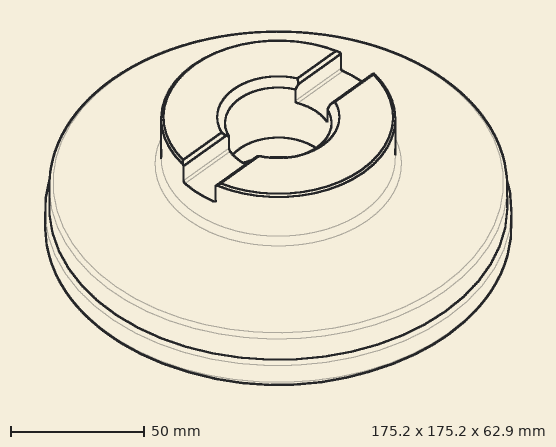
import cadquery as cq

ring_diameter = 175.2
ring_height = 17.7
ring_foot_diameter = 161.1
ring_bevel_height = 6.8
ring_shoulder_round = 1.5
ring_bevel_round = 2.1

total_height = 62.9
hub_diameter = 172.0
hub_rim_top = 29.6
hub_rim_round = 2.0
boss_diameter = 88.0
boss_foot_height = 40.0
boss_foot_fillet = 3.0
boss_chamfer = 0.9

bore_diameter = 40.0
bore_chamfer = 3.0
recess_diameter = 56.0
recess_top = 34.7

slot_width = 16.5
slot_depth = 9.6
slot_edge_chamfer = 1.4
slot_corner_round = 0.9

ring_radius = ring_diameter / 2
hub_radius = hub_diameter / 2
boss_radius = boss_diameter / 2
bore_radius = bore_diameter / 2
slot_floor = total_height - slot_depth
slot_length = hub_diameter


def circle_at(radius, height):
    """Select the horizontal circular edge with the given radius and height."""
    margin = 0.09
    reach = radius + margin
    return cq.selectors.BoxSelector(
        (-reach, -reach, height - margin), (reach, reach, height + margin), boundingbox=True
    ) - cq.selectors.BoxSelector(
        (margin - radius, margin - radius, height - margin),
        (radius - margin, radius - margin, height + margin),
        boundingbox=True,
    )


def make_slot_cutter():
    """Driving slot along Y, with rounded floor corners and bevelled top edges."""
    channel = (
        cq.Workplane("XY", origin=(0, 0, slot_floor))
        .box(slot_width, slot_length, slot_depth, centered=(True, True, False))
        .edges("|Y and <Z")
        .fillet(slot_corner_round)
    )
    half_width = slot_width / 2
    bevel = (
        cq.Workplane("XZ")
        .moveTo(-half_width, total_height - slot_edge_chamfer)
        .lineTo(half_width, total_height - slot_edge_chamfer)
        .lineTo(half_width + slot_edge_chamfer, total_height)
        .lineTo(-half_width - slot_edge_chamfer, total_height)
        .close()
        .extrude(slot_length / 2, both=True)
    )
    return channel.union(bevel)


def make_hub():
    """Conical flange with a slotted boss, a chamfered bore and a recess underneath."""
    recess_radius = recess_diameter / 2
    body = (
        cq.Workplane("XZ")
        .moveTo(recess_radius, ring_height)
        .lineTo(hub_radius, ring_height)
        .lineTo(hub_radius, hub_rim_top)
        .lineTo(boss_radius, boss_foot_height)
        .lineTo(boss_radius, total_height)
        .lineTo(bore_radius, total_height)
        .lineTo(bore_radius, recess_top)
        .lineTo(recess_radius, recess_top)
        .close()
        .revolve(360, (0, 0, 0), (0, 1, 0))
    )
    body = body.edges(circle_at(hub_radius, hub_rim_top)).fillet(hub_rim_round)
    body = body.edges(circle_at(boss_radius, boss_foot_height)).fillet(boss_foot_fillet)
    body = body.edges(circle_at(boss_radius, total_height)).chamfer(boss_chamfer)
    body = body.edges(circle_at(bore_radius, total_height)).chamfer(bore_chamfer)
    return body.cut(make_slot_cutter())


def make_ring():
    """Flat ring under the hub, rounded at the shoulder and bevelled at the foot."""
    foot_radius = ring_foot_diameter / 2
    body = (
        cq.Workplane("XZ")
        .moveTo(recess_diameter / 2, 0)
        .lineTo(foot_radius, 0)
        .lineTo(ring_radius, ring_bevel_height)
        .lineTo(ring_radius, ring_height)
        .lineTo(recess_diameter / 2, ring_height)
        .close()
        .revolve(360, (0, 0, 0), (0, 1, 0))
    )
    body = body.edges(circle_at(ring_radius, ring_height)).fillet(ring_shoulder_round)
    return body.edges(circle_at(ring_radius, ring_bevel_height)).fillet(ring_bevel_round)


hub = make_hub()
ring = make_ring()

result = cq.Compound.makeCompound([hub.solids().val(), ring.solids().val()])